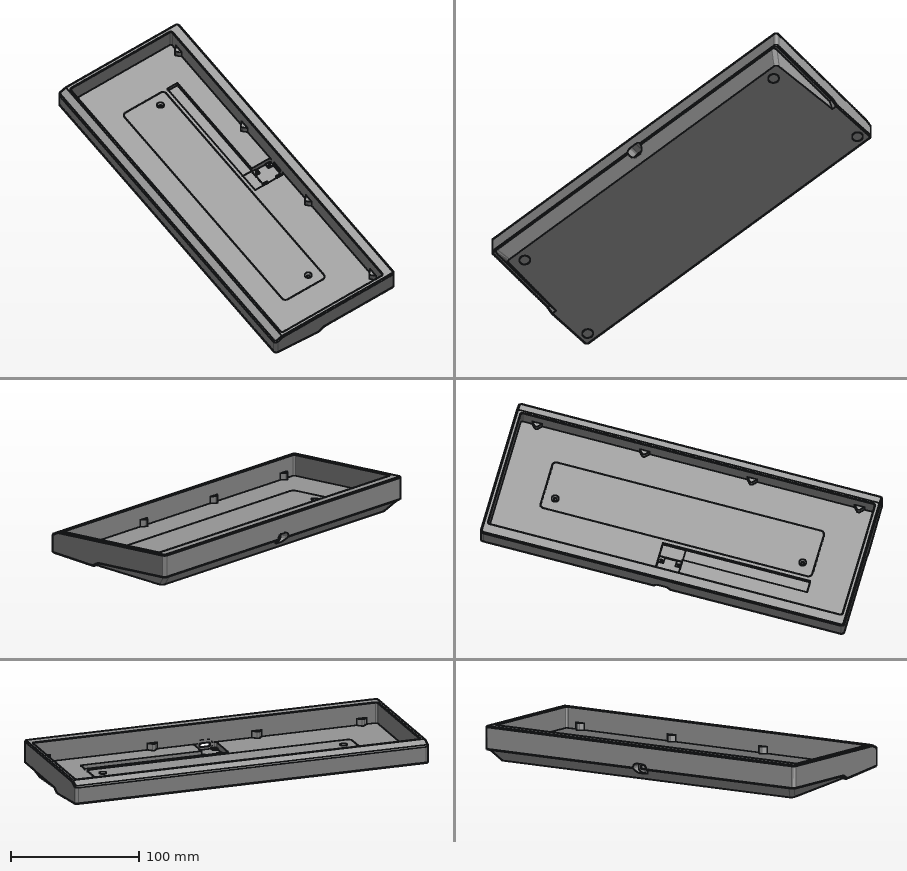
import cadquery as cq
import math

case_length = 294.3
case_width = 114.2
case_height = 27.99
top_z = case_height / 2
foot_tip_z = -case_height / 2
rear_y = case_width / 2
front_y = -rear_y
side_x = case_length / 2
corner_radius = 2.5
edge_chamfer = 1.0

lip_start_y = -50.1
lip_angle = 24.5

tilt_slope = math.tan(math.radians(5.55))
foot_tip_y = 47.4
rear_underside_z = -4.9
step_top_y = -9.8
step_bottom_y = -15.2


def underside_z(y):
    """Height of the tilted underside plane at a given Y."""
    return foot_tip_z + (foot_tip_y - y) * tilt_slope


foot_front_y = step_bottom_y
foot_root_side_x = 144.1
foot_root_rear_y = 56.2
foot_tip_side_x = 138.8
foot_corner_radius = 3.5

tray_half_length = 143.2
tray_rear_y = 48.1
tray_front_y = -tray_rear_y
tray_floor_z = -3.1
tray_corner_radius = 1.5
tray_rim_chamfer = 0.5

tab_reach = 3.5
tab_tip_radius = 1.6
tab_height = 5.4
tab_embed = 1.0
rear_tab_x = [-132.8, -43.8, 43.2, 130.2]
front_tab_x = [-130.6, -43.8, 43.2, 130.2]

plate_length = 219.5
plate_width = 39.5
plate_gap = 0.25
plate_thickness = 2.5
plate_center_y = -2.2
plate_corner_radius = 3.0
screw_x = 100.1
screw_y = 7.5
screw_hole_diameter = 2.53
countersink_diameter = 5.6
countersink_angle = 90.0

pocket_half_length = 9.3
pocket_front_y = 30.6
pocket_depth = 5.2
pocket_corner_radius = 1.5
channel_front_y = 20.8
channel_left_x = -110.0
channel_depth = 3.3
landing_depth = 3.6
post_length = 4.4
post_width = 4.6
post_height = 0.7
post_hole_diameter = 1.62
post_hole_x = 7.1
post_hole_rear_y = 45.6
post_hole_front_y = 33.7

port_length = 9.0
port_height = 3.2
port_z = -4.6
port_web = 1.0
plug_recess_length = 13.0
plug_recess_height = 8.5

pad_diameter = 8.5
pad_depth = 0.5
pad_places = [(128.2, 38.5), (139.0, -49.0)]


def box(x0, x1, y0, y1, z0, z1):
    """Block between two opposite corners."""
    return cq.Workplane("XY").box(x1 - x0, y1 - y0, z1 - z0, centered=False).translate((x0, y0, z0))


def make_outer_block():
    """Full-length side profile with rounded upright corners and chamfered outer edges."""
    lip_drop = (lip_start_y - front_y) * math.tan(math.radians(lip_angle))
    profile = [
        (rear_y, top_z),
        (lip_start_y, top_z),
        (front_y, top_z - lip_drop),
        (front_y, underside_z(front_y)),
        (step_bottom_y, underside_z(step_bottom_y)),
        (step_top_y, rear_underside_z),
        (rear_y, rear_underside_z),
    ]
    block = cq.Workplane("YZ").polyline(profile).close().extrude(side_x, both=True)
    block = block.edges("|Z").fillet(corner_radius)
    ridges_across = cq.selectors.LengthNthSelector(-1)
    not_upright = cq.selectors.StringSyntaxSelector("not |Z")
    rim = block.edges("not |Z").edges(cq.selectors.SubtractSelector(not_upright, ridges_across))
    return rim.chamfer(edge_chamfer)


def make_foot():
    """Tapered block with rounded rear corners, cut off by the tilted underside."""
    root_depth = foot_root_rear_y - foot_front_y
    tip_depth = foot_tip_y - foot_front_y
    foot = (
        cq.Workplane("XY", origin=(0, foot_front_y, rear_underside_z))
        .center(0, root_depth / 2).rect(2 * foot_root_side_x, root_depth)
        .workplane(offset=foot_tip_z - rear_underside_z)
        .center(0, (tip_depth - root_depth) / 2).rect(2 * foot_tip_side_x, tip_depth)
        .loft(ruled=True)
    )
    rear_corners = foot.faces(">Y").edges("not |X")
    foot = rear_corners.fillet(foot_corner_radius)
    below = (
        cq.Workplane("YZ")
        .polyline([
            (rear_y, underside_z(rear_y)),
            (front_y, underside_z(front_y)),
            (front_y, foot_tip_z * 2),
            (rear_y, foot_tip_z * 2),
        ])
        .close()
        .extrude(side_x, both=True)
    )
    return foot.cut(below)


def make_tray_cavity():
    cavity = box(-tray_half_length, tray_half_length, tray_front_y, tray_rear_y, tray_floor_z, top_z)
    return cavity.edges("|Z").fillet(tray_corner_radius)


def rim_edges(case):
    """Edges where the tray walls meet the flat top of the case."""
    rim = tray_rim_chamfer
    zone = cq.selectors.BoxSelector(
        (-tray_half_length - rim, tray_front_y - rim, top_z - rim),
        (tray_half_length + rim, tray_rear_y + rim, top_z + rim),
    )
    return case.faces(">Z").edges(zone)


def make_tab(x, wall_y, inward):
    """Wedge on a long wall; `inward` is the Y direction pointing into the tray."""
    sharp_reach = tab_reach + tab_tip_radius * (math.sqrt(2) - 1)
    half_base = sharp_reach + tab_embed
    tab = (
        cq.Workplane("XY", origin=(x, wall_y, tray_floor_z))
        .polyline([
            (-half_base, -inward * tab_embed),
            (half_base, -inward * tab_embed),
            (0, inward * sharp_reach),
        ])
        .close()
        .extrude(tab_height)
    )
    tip = "<Y" if inward < 0 else ">Y"
    return tab.edges("|Z").edges(tip).fillet(tab_tip_radius)


def rounded_plate(length, width, radius, thickness):
    """Rounded rectangle whose upper face lies on the tray floor level."""
    return (
        cq.Workplane("XY", origin=(0, plate_center_y, tray_floor_z - thickness))
        .rect(length, width)
        .extrude(thickness)
        .edges("|Z").fillet(radius)
    )


def make_board_pocket():
    """Deep pocket at the rear wall, a shallower landing in front of it, and the cable channel."""
    left, right = -pocket_half_length, pocket_half_length
    pocket_floor_z = tray_floor_z - pocket_depth
    landing_floor_z = tray_floor_z - landing_depth
    channel_floor_z = tray_floor_z - channel_depth
    pocket = box(left, right, pocket_front_y, tray_rear_y, pocket_floor_z, tray_floor_z)
    pocket = pocket.edges("|Z and >Y").fillet(pocket_corner_radius)
    landing = box(left, right, channel_front_y, pocket_front_y, landing_floor_z, tray_floor_z)
    channel = box(channel_left_x, left, channel_front_y, pocket_front_y, channel_floor_z, tray_floor_z)
    pocket = pocket.union(landing).union(channel)
    post_rows = [
        (pocket_front_y, pocket_front_y + post_width, post_hole_front_y),
        (tray_rear_y - post_width, tray_rear_y, post_hole_rear_y),
    ]
    for side in (-1, 1):
        inner_x, outer_x = sorted((side * (pocket_half_length - post_length), side * pocket_half_length))
        for y0, y1, hole_y in post_rows:
            post = box(inner_x, outer_x, y0, y1, pocket_floor_z, pocket_floor_z + post_height)
            hole = (
                cq.Workplane("XY", origin=(side * post_hole_x, hole_y, pocket_floor_z))
                .circle(post_hole_diameter / 2)
                .extrude(post_height)
            )
            pocket = pocket.cut(post.cut(hole))
    return pocket


def make_port():
    """Rounded slot through the rear wall, widened from outside to take a cable plug."""
    slot = (
        cq.Workplane("XZ", origin=(0, tray_rear_y, port_z))
        .slot2D(port_length, port_height)
        .extrude(-(rear_y - tray_rear_y))
    )
    web_y = tray_rear_y + port_web
    recess = (
        cq.Workplane("XZ", origin=(0, web_y, port_z))
        .slot2D(plug_recess_length, plug_recess_height)
        .extrude(-(rear_y - web_y))
    )
    return slot.union(recess)


def make_pad_recess(x, y):
    """Shallow round recess square to the tilted underside."""
    normal = cq.Vector(0, tilt_slope, 1)
    plane = cq.Plane(origin=(x, y, underside_z(y)), xDir=(1, 0, 0), normal=normal)
    return cq.Workplane(plane).circle(pad_diameter / 2).extrude(pad_depth)


def make_case():
    case = make_outer_block().union(make_foot()).cut(make_tray_cavity())
    case = rim_edges(case).chamfer(tray_rim_chamfer)
    for x in rear_tab_x:
        case = case.union(make_tab(x, tray_rear_y, -1))
    for x in front_tab_x:
        case = case.union(make_tab(x, tray_front_y, 1))
    gap = 2 * plate_gap
    case = case.cut(
        rounded_plate(
            plate_length + gap, plate_width + gap, plate_corner_radius + plate_gap, plate_thickness
        )
    )
    case = case.cut(make_board_pocket()).cut(make_port())
    for x, y in pad_places:
        for side in (-1, 1):
            case = case.cut(make_pad_recess(side * x, y))
    return case


def make_plate():
    """Inset plate with two countersunk screw holes."""
    plate = rounded_plate(plate_length, plate_width, plate_corner_radius, plate_thickness)
    return (
        plate.faces(">Z").workplane(origin=(0, 0, tray_floor_z))
        .pushPoints([(-screw_x, screw_y), (screw_x, screw_y)])
        .cskHole(screw_hole_diameter, countersink_diameter, countersink_angle)
    )


case = make_case()
plate = make_plate()
result = cq.Compound.makeCompound([case.val(), plate.val()])